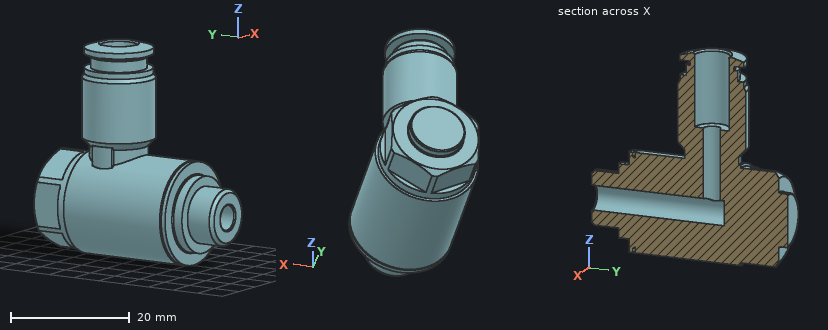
import cadquery as cq


body_dia = 17.8
collar_dia = 16.8
seal_neck_dia = 15.85
seal_neck_root_dia = 16.2
flange_dia = 17.7
spigot_dia = 13.15
spigot_root_dia = 13.5
thread_dia = 9.75
cap_dia = 9.5
cap_root_dia = 9.75
port_dia = 4.3
port_mouth_dia = 4.72

thread_end = -22.05
spigot_end = -17.05
spigot_root_start = -15.37
flange_end = -15.15
seal_neck_end = -14.4
body_end = -14.1
collar_start = 5.3
nut_start = 6.85
nut_end = 12.3
cap_root_end = 12.6
cap_end = 13.9
port_bottom = 2.2

thread_chamfer = 0.6
cap_chamfer = 0.22

nut_flats = 15.0
nut_corner_dia = collar_dia
nut_face_dia = 14.7
nut_bevel_length = 0.75

neck_dia = 9.95
socket_dia = 12.5
socket_rim_dia = 11.7
sleeve_dia = 9.5
release_neck_dia = 8.1
release_root_dia = 8.4
brim_dia = 11.8
tube_mouth_dia = 6.85
tube_dia = 6.2
passage_dia = 3.0

cone_bottom = 10.25
cone_top = 11.55
socket_top = 21.9
bevel_top = 22.6
rim_top = 23.55
sleeve_top = 25.4
release_neck_top = 25.7
brim_bottom = 26.02
brim_edge = 27.0
branch_top = 36.6 - body_dia / 2
tube_bottom = 14.65

rib_outer_dia = 10.98
rib_width = 3.95
rib_top = 10.72


def turned_along_y(profile):
    """Solid of revolution about Y from (diameter, y) points, closed along the axis."""
    points = [(dia / 2, y) for dia, y in profile]
    points = [(0, points[0][1])] + points + [(0, points[-1][1])]
    return cq.Workplane("XY").polyline(points).close().revolve(360, (0, 0), (0, 1))


def turned_along_z(profile):
    """Solid of revolution about Z from (diameter, z) points, closed along the axis."""
    return turned_along_y(profile).rotate((0, 0, 0), (1, 0, 0), 90)


def make_main_body():
    return turned_along_y([
        (thread_dia - 2 * thread_chamfer, thread_end),
        (thread_dia, thread_end + thread_chamfer),
        (thread_dia, spigot_end),
        (spigot_dia, spigot_end),
        (spigot_dia, spigot_root_start),
        (spigot_root_dia, flange_end),
        (flange_dia, flange_end),
        (flange_dia, seal_neck_end),
        (seal_neck_root_dia, seal_neck_end),
        (seal_neck_dia, body_end),
        (body_dia, body_end),
        (body_dia, collar_start),
        (collar_dia, collar_start),
        (collar_dia, nut_start),
        (cap_root_dia, nut_start),
        (cap_root_dia, nut_end),
        (cap_dia, cap_root_end),
        (cap_dia, cap_end - cap_chamfer),
        (cap_dia - 2 * cap_chamfer, cap_end),
    ])


def make_nut():
    """Hexagon with two flats facing X, its corners turned down and its outer end bevelled."""
    length = nut_end - nut_start
    hexagon = (
        cq.Workplane("XZ", origin=(0, nut_end, 0))
        .polygon(6, nut_flats, circumscribed=True)
        .extrude(length)
    )
    blank = turned_along_y([
        (nut_corner_dia, nut_start),
        (nut_corner_dia, nut_end - nut_bevel_length),
        (nut_face_dia, nut_end),
    ])
    return hexagon.intersect(blank)


def make_branch():
    return turned_along_z([
        (neck_dia, 0),
        (neck_dia, cone_bottom),
        (socket_dia, cone_top),
        (socket_dia, socket_top),
        (socket_rim_dia, bevel_top),
        (socket_rim_dia, rim_top),
        (sleeve_dia, rim_top),
        (sleeve_dia, sleeve_top),
        (release_neck_dia, sleeve_top),
        (release_neck_dia, release_neck_top),
        (release_root_dia, brim_bottom),
        (brim_dia, brim_bottom),
        (brim_dia, brim_edge),
        (tube_mouth_dia, branch_top),
    ])


def make_ribs():
    slab = cq.Workplane("XY").box(rib_outer_dia, rib_width, rib_top, centered=(True, True, False))
    return turned_along_z([(rib_outer_dia, 0), (rib_outer_dia, rib_top)]).intersect(slab)


def make_tube_socket():
    """Bevelled tube bore with a narrower passage down to the main axis."""
    bevel = (tube_mouth_dia - tube_dia) / 2
    return turned_along_z([
        (passage_dia, 0),
        (passage_dia, tube_bottom),
        (tube_dia, tube_bottom),
        (tube_dia, branch_top - bevel),
        (tube_mouth_dia, branch_top),
    ])


def make_port():
    """Blind bore from the threaded end, reaching past the branch passage."""
    bevel = (port_mouth_dia - port_dia) / 2
    return turned_along_y([
        (port_mouth_dia, thread_end),
        (port_dia, thread_end + bevel),
        (port_dia, port_bottom),
    ])


result = (
    make_main_body()
    .union(make_nut())
    .union(make_branch())
    .union(make_ribs())
    .cut(make_tube_socket())
    .cut(make_port())
)